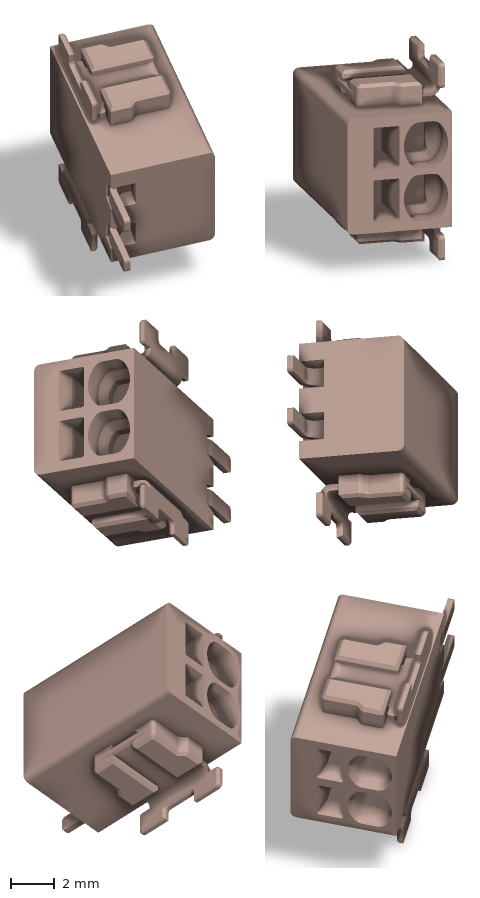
import cadquery as cq
import math

HOUSING_LENGTH = 9.0
HOUSING_DEPTH = 5.0
HOUSING_HEIGHT = 5.5
HOUSING_TOP_RADIUS = 0.3
HALF_HEIGHT = HOUSING_HEIGHT / 2

PITCH = 2.5
CONTACT_HEIGHTS = [-PITCH / 2, PITCH / 2]

WIRE_Y = 1.25
WIRE_HALF_DEPTH = 1.05
WIRE_HALF_HEIGHT = 1.1
WIRE_SIDE_RADIUS = 1.42
WIRE_CORNER_RADIUS = 0.52
WIRE_STRAIGHT = 1.15
FUNNEL_SLOPE = 0.6
FUNNEL_INSET = 0.51
PASSAGE_INSET = 0.3
PASSAGE_LENGTH = 1.0
PASSAGE_FLAT_Y = 0.725

SLOT_BOTTOM_Y = 2.5
SLOT_TOP_Y = 3.5
SLOT_MOUTH_TOP_Y = 3.75
SLOT_MOUTH_LENGTH = 0.9
SLOT_DEPTH = 3.0
SLOT_HEIGHT = 2.0
SLOT_CORNER_RADIUS = 0.1

WING_CENTRE_X = 3.7
WING_BOTTOM_Y = 1.0
WING_TOP_Y = 4.0
WING_WIDE_HALF = 2.2
WING_NARROW_HALF = 1.9
WING_STEP_Y = 2.0
WING_RADIUS = 0.2
WING_OUTER_Z = 3.8
WING_CHAMFER = 0.15
CHANNEL_HALF = 0.6
CHANNEL_RELIEF = 0.15
UNDERCUT_BASE_HALF = 0.7

SHEET = 0.3
CLIP_INNER_Z = 3.0
CLIP_OUTER_Z = CLIP_INNER_Z + SHEET
CLIP_BEND_INNER = 0.2
CLIP_BEND_OUTER = CLIP_BEND_INNER + SHEET
CLIP_NECK_WIDTH = 3.6
CLIP_NECK_TOP_Y = 0.92
CLIP_SHOULDER_RADIUS = 0.12
CLIP_TAB_WIDTH = 2.6
CLIP_TIP_LENGTH = 0.15
CLIP_TIP_DROP = 0.07
FOOT_WIDTH = 5.0
FOOT_HEIGHT = 1.2
FOOT_INNER_Z = CLIP_INNER_Z + CLIP_BEND_OUTER
FOOT_OUTER_Z = FOOT_INNER_Z + FOOT_HEIGHT
FOOT_RADIUS = 0.2
FOOT_CHAMFER = 0.1
FOOT_NOTCH_WIDTH = 1.8
FOOT_NOTCH_DEPTH = 0.6

PIN_WIDTH = 0.8
PIN_TAIL_LENGTH = 2.0
PIN_END_X = HOUSING_LENGTH + PIN_TAIL_LENGTH
PIN_END_RADIUS = 0.2
PIN_BEND_X = 8.93
PIN_BEND_INNER = 0.3
PIN_BEND_OUTER = PIN_BEND_INNER + SHEET
PIN_SLOPE = math.radians(45)
PIN_LEG_LENGTH = 0.8

NOTCH_X = 8.3
NOTCH_DEPTH = 1.2
NOTCH_INNER_HALF = 0.48
NOTCH_OUTER_HALF = 0.65


def wire_section(x, z, inset):
    """Hole outline moved inward by inset, closed at the given X."""
    side_offset = WIRE_SIDE_RADIUS - WIRE_HALF_DEPTH
    centre_gap = WIRE_SIDE_RADIUS - WIRE_CORNER_RADIUS
    corner_z = WIRE_HALF_HEIGHT - WIRE_CORNER_RADIUS
    corner_y = math.sqrt(centre_gap**2 - corner_z**2) - side_offset
    blend_angle = math.asin(corner_z / centre_gap)
    middle_angle = (blend_angle + math.pi / 2) / 2
    corner_radius = WIRE_CORNER_RADIUS - inset

    flat_z = WIRE_HALF_HEIGHT - inset
    side_y = WIRE_HALF_DEPTH - inset
    middle_y = corner_y + corner_radius * math.cos(middle_angle)
    middle_z = corner_z + corner_radius * math.sin(middle_angle)
    blend_y = corner_y + corner_radius * math.cos(blend_angle)
    blend_z = corner_z + corner_radius * math.sin(blend_angle)

    return (
        cq.Workplane("YZ", origin=(x, WIRE_Y, z))
        .moveTo(-corner_y, flat_z)
        .lineTo(corner_y, flat_z)
        .threePointArc((middle_y, middle_z), (blend_y, blend_z))
        .threePointArc((side_y, 0), (blend_y, -blend_z))
        .threePointArc((middle_y, -middle_z), (corner_y, -flat_z))
        .lineTo(-corner_y, -flat_z)
        .threePointArc((-middle_y, -middle_z), (-blend_y, -blend_z))
        .threePointArc((-side_y, 0), (-blend_y, blend_z))
        .threePointArc((-middle_y, middle_z), (-corner_y, flat_z))
        .close()
    )


def wire_hole(z):
    """Straight entry, then a funnel that narrows to a passage with one flat wall."""
    entry = wire_section(0, z, 0).extrude(WIRE_STRAIGHT)

    funnel_depth = FUNNEL_INSET / FUNNEL_SLOPE
    taper = math.degrees(math.atan(FUNNEL_SLOPE))
    funnel = wire_section(WIRE_STRAIGHT, z, 0).extrude(funnel_depth, taper=taper)

    above_flat = cq.Workplane("XY", origin=(WIRE_STRAIGHT, PASSAGE_FLAT_Y, z)).box(
        PASSAGE_LENGTH, HOUSING_DEPTH, HOUSING_HEIGHT, centered=(False, False, True)
    )
    passage = wire_section(WIRE_STRAIGHT, z, PASSAGE_INSET).extrude(PASSAGE_LENGTH)
    passage = passage.intersect(above_flat)
    return entry.union(funnel).union(passage)


def release_slot(z):
    """Rectangular slot whose +Y wall slopes outward at the mouth."""
    slot = (
        cq.Workplane("XY", origin=(0, 0, z))
        .moveTo(0, SLOT_BOTTOM_Y)
        .lineTo(SLOT_DEPTH, SLOT_BOTTOM_Y)
        .lineTo(SLOT_DEPTH, SLOT_TOP_Y)
        .lineTo(SLOT_MOUTH_LENGTH, SLOT_TOP_Y)
        .lineTo(0, SLOT_MOUTH_TOP_Y)
        .close()
        .extrude(SLOT_HEIGHT / 2, both=True)
    )
    long_edges = slot.faces("<Z or >Z").edges("not |Y")
    return long_edges.fillet(SLOT_CORNER_RADIUS)


def pin_notch(z):
    """Flared notch in the -Y, +X corner of the housing."""
    return (
        cq.Workplane("XZ", origin=(0, 0, z))
        .moveTo(NOTCH_X, -NOTCH_INNER_HALF)
        .lineTo(HOUSING_LENGTH, -NOTCH_OUTER_HALF)
        .lineTo(HOUSING_LENGTH, NOTCH_OUTER_HALF)
        .lineTo(NOTCH_X, NOTCH_INNER_HALF)
        .close()
        .extrude(-NOTCH_DEPTH)
    )


def wing(side):
    """One wing on the +Z face; side is -1 or +1 along X from the clip centre."""
    step = WING_WIDE_HALF - WING_NARROW_HALF
    outline = [
        (CHANNEL_HALF, WING_BOTTOM_Y),
        (WING_WIDE_HALF, WING_BOTTOM_Y),
        (WING_WIDE_HALF, WING_STEP_Y),
        (WING_NARROW_HALF, WING_STEP_Y + step),
        (WING_NARROW_HALF, WING_TOP_Y),
        (CHANNEL_HALF, WING_TOP_Y),
    ]
    points = [(WING_CENTRE_X + side * x, y) for x, y in outline]
    base = cq.Workplane("XY", origin=(0, 0, HALF_HEIGHT)).polyline(points).close()
    block = base.extrude(WING_OUTER_Z - HALF_HEIGHT)
    rounded_corners = points[2:5]
    middle_z = (HALF_HEIGHT + WING_OUTER_Z) / 2
    for x, y in rounded_corners:
        corner = cq.selectors.NearestToPointSelector((x, y, middle_z))
        block = block.edges(corner).fillet(WING_RADIUS)
    return block.faces(">Z").chamfer(WING_CHAMFER)


def clip_slot():
    """Slot for the clip through both wings, with bevelled edges inside and outside the clip."""
    length = WING_TOP_Y - WING_BOTTOM_Y
    undercut_half = UNDERCUT_BASE_HALF + CLIP_INNER_Z - HALF_HEIGHT
    tab_half = CLIP_TAB_WIDTH / 2
    outline = [
        (UNDERCUT_BASE_HALF, HALF_HEIGHT),
        (undercut_half, CLIP_INNER_Z),
        (tab_half, CLIP_INNER_Z),
        (tab_half, CLIP_OUTER_Z),
        (CHANNEL_HALF + CHANNEL_RELIEF, CLIP_OUTER_Z),
        (CHANNEL_HALF, CLIP_OUTER_Z + CHANNEL_RELIEF),
    ]
    mirrored = [(-x, z) for x, z in reversed(outline)]
    plane = cq.Workplane("XZ", origin=(WING_CENTRE_X, WING_BOTTOM_Y, 0))
    return plane.polyline(outline + mirrored).close().extrude(-length)


def clip_upright():
    """Neck with the narrower tab that slides between the wings."""
    centre = cq.Workplane("XY", origin=(WING_CENTRE_X, 0, 0))
    tab_half = CLIP_TAB_WIDTH / 2

    neck_height = CLIP_NECK_TOP_Y - CLIP_BEND_OUTER
    sheet_plane = centre.workplane(offset=CLIP_INNER_Z)
    neck = sheet_plane.center(0, CLIP_BEND_OUTER + neck_height / 2)
    neck = neck.rect(CLIP_NECK_WIDTH, neck_height).extrude(SHEET)
    neck = neck.edges("|Z and >Y").fillet(CLIP_SHOULDER_RADIUS)

    tab_length = WING_TOP_Y - CLIP_BEND_OUTER
    tab = sheet_plane.center(0, CLIP_BEND_OUTER + tab_length / 2)
    tab = tab.rect(CLIP_TAB_WIDTH, tab_length).extrude(SHEET)

    root_radius = WING_BOTTOM_Y - CLIP_NECK_TOP_Y
    upright = neck.union(tab)
    for x in (WING_CENTRE_X - tab_half, WING_CENTRE_X + tab_half):
        root = cq.selectors.NearestToPointSelector((x, CLIP_NECK_TOP_Y, CLIP_INNER_Z + SHEET / 2))
        upright = upright.edges("|Z").edges(root).fillet(root_radius)

    tip_bevel = (
        cq.Workplane("YZ", origin=(WING_CENTRE_X, WING_TOP_Y, CLIP_OUTER_Z))
        .polyline([(0, 0), (-CLIP_TIP_LENGTH, 0), (0, -CLIP_TIP_DROP)])
        .close()
        .extrude(tab_half, both=True)
    )
    return upright.cut(tip_bevel)


def clip_bend():
    """Quarter bend from the neck to the foot, run on under the foot's bevel."""
    diagonal = math.sqrt(0.5)
    bend_far = CLIP_BEND_OUTER * (1 - diagonal)
    bend_near = CLIP_BEND_OUTER - CLIP_BEND_INNER * diagonal
    return (
        cq.Workplane("YZ", origin=(WING_CENTRE_X, 0, CLIP_INNER_Z))
        .moveTo(CLIP_BEND_OUTER, 0)
        .threePointArc((bend_far, bend_far), (0, CLIP_BEND_OUTER))
        .lineTo(0, CLIP_BEND_OUTER + FOOT_CHAMFER)
        .lineTo(SHEET, CLIP_BEND_OUTER + FOOT_CHAMFER)
        .lineTo(SHEET, CLIP_BEND_OUTER)
        .threePointArc((bend_near, bend_near), (CLIP_BEND_OUTER, SHEET))
        .close()
        .extrude(CLIP_NECK_WIDTH / 2, both=True)
    )


def clip_foot():
    """Soldered plate with rounded corners, an open notch and a bevelled +Y face."""
    foot_plane = cq.Workplane("XZ", origin=(WING_CENTRE_X, 0, (FOOT_OUTER_Z + FOOT_INNER_Z) / 2))
    foot = foot_plane.rect(FOOT_WIDTH, FOOT_HEIGHT).extrude(-SHEET).edges("|Y").fillet(FOOT_RADIUS)
    notch = (
        cq.Workplane("XZ", origin=(WING_CENTRE_X, 0, FOOT_OUTER_Z))
        .rect(FOOT_NOTCH_WIDTH, 2 * FOOT_NOTCH_DEPTH)
        .extrude(-SHEET)
        .edges("|Y")
        .fillet(FOOT_RADIUS)
    )
    return foot.cut(notch).faces(">Y").chamfer(FOOT_CHAMFER)


def make_clip():
    """Solder clip on the +Z side."""
    return clip_upright().union(clip_bend()).union(clip_foot())


def make_pin(z):
    """Flat tail on the board, bent up into a sloped leg that enters the housing."""
    sine = math.sin(PIN_SLOPE)
    cosine = math.cos(PIN_SLOPE)

    def bend_point(radius, angle):
        return (PIN_BEND_X - radius * math.sin(angle), PIN_BEND_OUTER - radius * math.cos(angle))

    def leg_end(radius):
        x, y = bend_point(radius, PIN_SLOPE)
        return (x - PIN_LEG_LENGTH * cosine, y + PIN_LEG_LENGTH * sine)

    pin = (
        cq.Workplane("XY", origin=(0, 0, z))
        .moveTo(PIN_END_X, 0)
        .lineTo(*bend_point(PIN_BEND_OUTER, 0))
        .threePointArc(bend_point(PIN_BEND_OUTER, PIN_SLOPE / 2), bend_point(PIN_BEND_OUTER, PIN_SLOPE))
        .lineTo(*leg_end(PIN_BEND_OUTER))
        .lineTo(*leg_end(PIN_BEND_INNER))
        .lineTo(*bend_point(PIN_BEND_INNER, PIN_SLOPE))
        .threePointArc(bend_point(PIN_BEND_INNER, PIN_SLOPE / 2), bend_point(PIN_BEND_INNER, 0))
        .lineTo(PIN_END_X, SHEET)
        .close()
        .extrude(PIN_WIDTH / 2, both=True)
    )
    return pin.edges("|Y and >X").fillet(PIN_END_RADIUS)


def make_housing(pins):
    """Block with two mirrored pairs of wings, wire holes, slots and pin sockets."""
    housing = cq.Workplane("XY").box(
        HOUSING_LENGTH, HOUSING_DEPTH, HOUSING_HEIGHT, centered=(False, False, True)
    )
    housing = housing.edges("|X and >Y").fillet(HOUSING_TOP_RADIUS)
    wing_pair = wing(-1).union(wing(1)).cut(clip_slot())
    housing = housing.union(wing_pair).union(wing_pair.mirror("XY"))
    for z in CONTACT_HEIGHTS:
        housing = housing.cut(wire_hole(z)).cut(release_slot(z)).cut(pin_notch(z))
    for pin in pins:
        housing = housing.cut(pin)
    return housing


pins = [make_pin(z) for z in CONTACT_HEIGHTS]
housing = make_housing(pins)
upper_clip = make_clip()
clips = [upper_clip, upper_clip.mirror("XY")]

bodies = [housing] + pins + clips
result = cq.Compound.makeCompound([body.solids().val() for body in bodies])